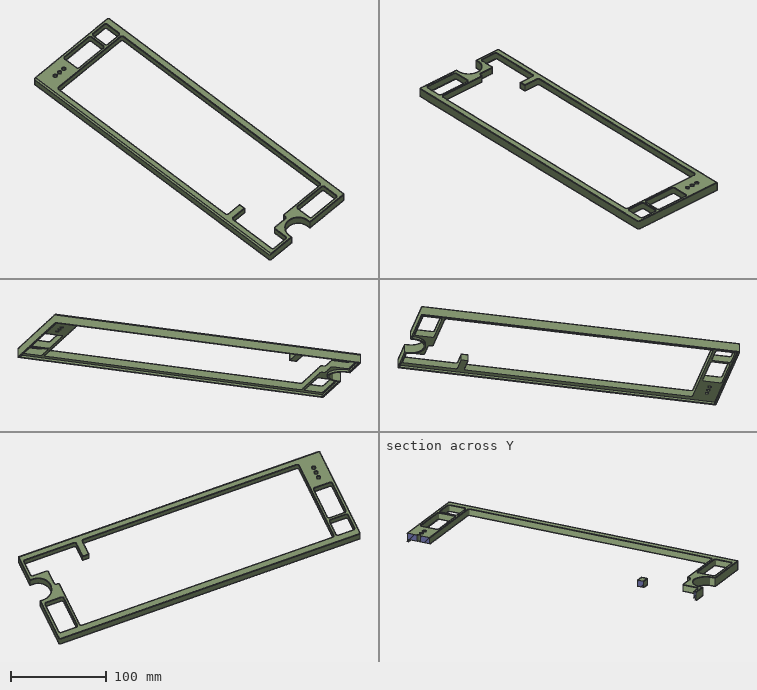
import cadquery as cq

length = 341.5
width = 112.3
thickness = 10.0

rail = 7.5
end_wall = 3.5
web = 3.0
outer_radius = 1.55
inner_radius = 1.88
edge_chamfer = 0.5
front_chamfer = 1.7

recess_depth = 2.5
lip = 1.7

left_window_length = 20.5
small_window_width = 20.5
large_window_width = 40.0
right_window_length = 20.5
right_window_width = 40.0

notch_radius = 13.5
notch_center_x = length - 3.8
notch_center_y = 46.5
block_left_x = length - 22.2
block_back_y = 47.5
block_front_y = 28.5

tab_left_x = 271.7
tab_width = 7.5
tab_end_y = 26.5

hole_diameter = 3.5
hole_count = 3
hole_pitch = 6.5
hole_x = 13.5
middle_hole_y = 24.2

back_y = width - rail
left_window_right_x = end_wall + left_window_length
main_left_x = left_window_right_x + web
right_inner_x = length - end_wall
right_window_left_x = right_inner_x - right_window_length
main_right_x = right_window_left_x - web
small_window_front_y = back_y - small_window_width
large_window_back_y = small_window_front_y - web
large_window_front_y = large_window_back_y - large_window_width
right_window_front_y = back_y - right_window_width


def block(x_min, x_max, y_min, y_max):
    """Full-height rectangular block between the given limits."""
    size_x = x_max - x_min
    size_y = y_max - y_min
    corner = cq.Workplane("XY").center(x_min, y_min)
    return corner.box(size_x, size_y, thickness, centered=False)


def window(x_min, x_max, y_min, y_max):
    """Rectangular through opening with rounded corners."""
    return block(x_min, x_max, y_min, y_max).edges("|Z").fillet(inner_radius)


def main_opening():
    """Large opening stepped around the end block, with the tab left standing in it."""
    tab_right_x = tab_left_x + tab_width
    outline = [
        (main_left_x, rail),
        (tab_left_x, rail),
        (tab_left_x, tab_end_y),
        (tab_right_x, tab_end_y),
        (tab_right_x, rail),
        (right_inner_x, rail),
        (right_inner_x, block_front_y),
        (block_left_x, block_front_y),
        (block_left_x, block_back_y),
        (main_right_x, block_back_y),
        (main_right_x, back_y),
        (main_left_x, back_y),
    ]
    opening = cq.Workplane("XY").polyline(outline).close().extrude(thickness)
    tab_end = cq.selectors.BoxSelector(
        (tab_left_x - web, tab_end_y - web, 0),
        (tab_right_x + web, tab_end_y + web, thickness),
    )
    rounded_edges = opening.edges("|Z").edges(cq.selectors.InverseSelector(tab_end))
    return rounded_edges.fillet(inner_radius)


def round_notch(radius):
    """Round-ended notch open to the right end."""
    center = cq.Workplane("XY").center(notch_center_x, notch_center_y)
    round_end = center.circle(radius).extrude(thickness)
    mouth = block(notch_center_x, length, notch_center_y - radius, notch_center_y + radius)
    return round_end.union(mouth)


def underside_recess():
    """Shallow recess in the bottom that stops short of the outline and of the notch."""
    inside_lip = block(lip, length - lip, lip, width - lip)
    recess = inside_lip.cut(round_notch(notch_radius + lip))
    return recess.translate((0, 0, recess_depth - thickness))


def small_holes():
    """Row of through holes running along Y."""
    row = cq.Workplane("XY").center(hole_x, middle_hole_y).rarray(3.5, hole_pitch, 1, hole_count)
    return row.circle(hole_diameter / 2).extrude(thickness)


def front_bevel():
    """Prism that takes off the top front edge over the whole length."""
    profile = [
        (0, thickness - front_chamfer),
        (front_chamfer, thickness),
        (0, thickness),
    ]
    return cq.Workplane("YZ").polyline(profile).close().extrude(length)


frame = block(0, length, 0, width).edges("|Z").fillet(outer_radius)
frame = frame.cut(main_opening())
frame = frame.cut(window(end_wall, left_window_right_x, small_window_front_y, back_y))
frame = frame.cut(window(end_wall, left_window_right_x, large_window_front_y, large_window_back_y))
frame = frame.cut(window(right_window_left_x, right_inner_x, right_window_front_y, back_y))
frame = frame.cut(round_notch(notch_radius))
frame = frame.cut(small_holes())
frame = frame.faces(">Z").edges().chamfer(edge_chamfer)
frame = frame.cut(underside_recess())
result = frame.cut(front_bevel())